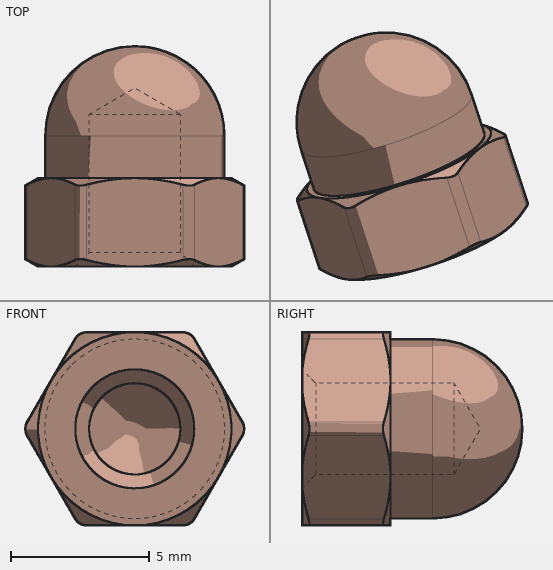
import cadquery as cq
import math

total_length = 7.98
across_flats = 7.0
hex_height = 3.2
corner_radius = 0.49
dome_diameter = 6.5
bore_diameter = 3.3
countersink_diameter = 4.31
bore_depth = 5.51
chamfer_angle = 30.0
countersink_angle = 90.0
drill_point_angle = 120.0

face_radius = across_flats / 2
sharp_corner_radius = face_radius / math.cos(math.pi / 6)
dome_radius = dome_diameter / 2
dome_base = total_length - dome_radius
bore_radius = bore_diameter / 2
countersink_radius = countersink_diameter / 2
countersink_depth = (countersink_radius - bore_radius) / math.tan(math.radians(countersink_angle / 2))
drill_tip = bore_depth + bore_radius / math.tan(math.radians(drill_point_angle / 2))


def revolve_about_y(profile):
    """Spin a closed profile, drawn as radius along X and position along Y, about the Y axis."""
    return profile.close().revolve(360, (0, 0, 0), (0, 1, 0))


def hex_prism():
    """Hexagon with corners on the X axis, flats facing +Z and -Z, and rounded corners."""
    prism = cq.Workplane("XZ").polygon(6, 2 * sharp_corner_radius).extrude(-hex_height)
    return prism.edges("|Y").fillet(corner_radius)


def chamfer_envelope():
    """Turned body that touches the flats at both end faces and cuts off only the hex corners."""
    chamfer_length = (sharp_corner_radius - face_radius) * math.tan(math.radians(chamfer_angle))
    return revolve_about_y(
        cq.Workplane("XY")
        .lineTo(face_radius, 0)
        .lineTo(sharp_corner_radius, chamfer_length)
        .lineTo(sharp_corner_radius, hex_height - chamfer_length)
        .lineTo(face_radius, hex_height)
        .lineTo(0, hex_height)
    )


def domed_cap():
    """Cylinder closed by a hemisphere; it starts halfway inside the hexagon to overlap it."""
    cap_start = hex_height / 2
    arc_middle = dome_radius * math.sin(math.pi / 4)
    return revolve_about_y(
        cq.Workplane("XY")
        .moveTo(0, cap_start)
        .lineTo(dome_radius, cap_start)
        .lineTo(dome_radius, dome_base)
        .threePointArc((arc_middle, dome_base + arc_middle), (0, total_length))
    )


def blind_bore():
    """Countersunk blind hole that ends in a conical drill point."""
    return revolve_about_y(
        cq.Workplane("XY")
        .lineTo(countersink_radius, 0)
        .lineTo(bore_radius, countersink_depth)
        .lineTo(bore_radius, bore_depth)
        .lineTo(0, drill_tip)
    )


hex_body = hex_prism().intersect(chamfer_envelope())
result = hex_body.union(domed_cap()).cut(blind_bore())